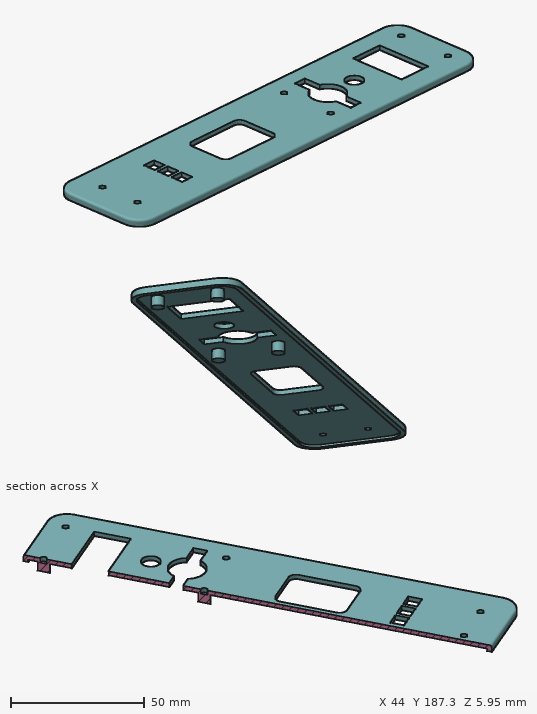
import cadquery as cq

plate_width = 44.0
plate_length = 187.26
plate_thickness = 3.0
corner_radius = 8.0
edge_fillet_radius = 1.0

web_thickness = 2.0
rim_width = 2.0

total_height = 5.95
boss_height = total_height - web_thickness
boss_diameter = 5.0
boss_spacing_x = 24.0
boss_rows_y = (85.5, 21.3)
bore_diameter = 2.5
bore_depth = web_thickness

window_width = 25.0
window_height = 14.6
window_y = 66.9

round_hole_diameter = 7.5
round_hole_y = 47.0

keyed_diameter = 14.7
keyed_slot_length = 28.8
keyed_slot_height = 5.5
keyed_y = 32.5

panel_width = 20.1
panel_height = 28.6
panel_corner_radius = 3.0
panel_y = -19.7

square_count = 3
square_size = 5.5
square_pitch = 7.1
squares_y = -55.0

screw_hole_diameter = 2.5
screw_spacing_x = 18.0
screw_y = -81.4


def make_plate():
    """Rounded plate with its top edge rounded over."""
    plate = cq.Workplane("XY").box(
        plate_width, plate_length, plate_thickness, centered=(True, True, False)
    )
    plate = plate.translate((0, 0, -plate_thickness))
    plate = plate.edges("|Z").fillet(corner_radius)
    return plate.faces(">Z").edges().fillet(edge_fillet_radius)


def cut_recess(plate):
    """Hollow the underside up to the web, following the outline inside the rim."""
    recess = (
        cq.Workplane("XY", origin=(0, 0, -plate_thickness))
        .rect(plate_width - 2 * rim_width, plate_length - 2 * rim_width)
        .extrude(plate_thickness - web_thickness)
    )
    return plate.cut(recess.edges("|Z").fillet(corner_radius - rim_width))


def box_cutter(width, height, y, x=0.0):
    """Rectangular cutter as deep as the full plate thickness."""
    return cq.Workplane("XY").center(x, y).rect(width, height).extrude(-plate_thickness)


def round_cutter(diameter, points, depth):
    """Round cutters going down from the top face."""
    return cq.Workplane("XY").pushPoints(points).circle(diameter / 2).extrude(-depth)


def mirrored_pair(spacing, y):
    """Two points placed symmetrically about the Y axis."""
    return [(-spacing / 2, y), (spacing / 2, y)]


def add_bosses(plate):
    points = [point for y in boss_rows_y for point in mirrored_pair(boss_spacing_x, y)]
    bosses = (
        cq.Workplane("XY", origin=(0, 0, -web_thickness))
        .pushPoints(points)
        .circle(boss_diameter / 2)
        .extrude(-boss_height)
    )
    return plate.union(bosses).cut(round_cutter(bore_diameter, points, bore_depth))


def cut_window(plate):
    return plate.cut(box_cutter(window_width, window_height, window_y))


def cut_round_hole(plate):
    return plate.cut(round_cutter(round_hole_diameter, [(0, round_hole_y)], plate_thickness))


def cut_keyed_opening(plate):
    circle = round_cutter(keyed_diameter, [(0, keyed_y)], plate_thickness)
    slot = box_cutter(keyed_slot_length, keyed_slot_height, keyed_y)
    return plate.cut(circle).cut(slot)


def cut_panel_window(plate):
    cutter = box_cutter(panel_width, panel_height, panel_y)
    return plate.cut(cutter.edges("|Z").fillet(panel_corner_radius))


def cut_squares(plate):
    for index in range(square_count):
        x = (index - (square_count - 1) / 2) * square_pitch
        plate = plate.cut(box_cutter(square_size, square_size, squares_y, x))
    return plate


def cut_screw_holes(plate):
    points = mirrored_pair(screw_spacing_x, screw_y)
    return plate.cut(round_cutter(screw_hole_diameter, points, plate_thickness))


part = cut_recess(make_plate())
part = add_bosses(part)
part = cut_window(part)
part = cut_round_hole(part)
part = cut_keyed_opening(part)
part = cut_panel_window(part)
part = cut_squares(part)
result = cut_screw_holes(part)